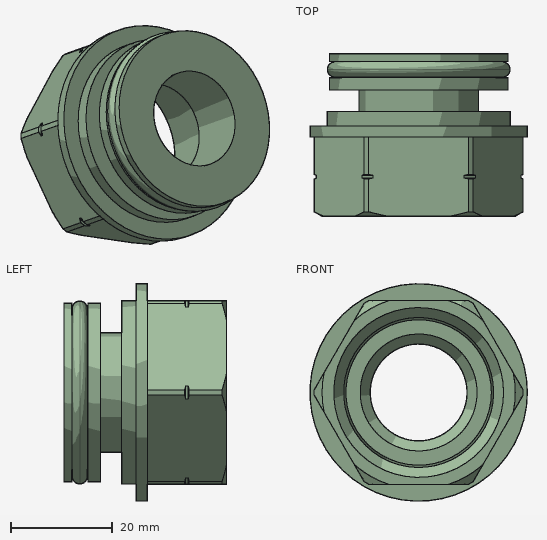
import cadquery as cq
import math


total_length = 32.0
hex_length = 15.6
flange_end = 17.8
collar_end = 20.65
neck_end = 24.8
flange_radius = 21.4
collar_radius = 18.05
neck_radius = 11.8
head_radius = 17.6

hex_sides = 6
hex_across_flats = 36.1
hex_corner_radius = 20.55
hex_face_radius = 19.0
hex_chamfer_angle = 30.0

mark_station = hex_length / 2
mark_floor_radius = 20.15
mark_floor_width = 0.5
mark_mouth_width = 0.9

ring_section_radius = 1.5
ring_outer_radius = 18.0
ring_center_radius = ring_outer_radius - ring_section_radius
ring_groove_width = 3.15
ring_groove_start = 27.3
ring_groove_end = ring_groove_start + ring_groove_width
ring_groove_center = ring_groove_start + ring_groove_width / 2
ring_seat_overlap = 0.2
ring_groove_radius = ring_center_radius - ring_section_radius + ring_seat_overlap

socket_mouth_radius = 16.7
socket_start_radius = 14.75
socket_end_radius = 14.3
socket_depth = 17.0
bore_entry_radius = 11.5
bore_radius = 9.5


def revolve_profile(points):
    """Revolve (radius, station) points about the Y axis."""
    return cq.Workplane("XY").polyline(points).close().revolve(360, (0, 0, 0), (0, 1, 0))


def make_hexagon():
    """Hexagon with turned corners, a chamfered face and a mark groove."""
    corner_diameter = hex_across_flats / math.cos(math.pi / hex_sides)
    prism = cq.Workplane("XZ").polygon(hex_sides, corner_diameter).extrude(-hex_length)

    chamfer_drop = hex_corner_radius - hex_face_radius
    chamfer_length = chamfer_drop * math.tan(math.radians(hex_chamfer_angle))
    envelope = revolve_profile([
        (0, 0),
        (hex_face_radius, 0),
        (hex_corner_radius, chamfer_length),
        (hex_corner_radius, mark_station - mark_mouth_width / 2),
        (mark_floor_radius, mark_station - mark_floor_width / 2),
        (mark_floor_radius, mark_station + mark_floor_width / 2),
        (hex_corner_radius, mark_station + mark_mouth_width / 2),
        (hex_corner_radius, hex_length),
        (0, hex_length),
    ])
    return prism.intersect(envelope)


def make_turned_body():
    """Flange, collar, neck and grooved head behind the hexagon."""
    return revolve_profile([
        (0, hex_length),
        (flange_radius, hex_length),
        (flange_radius, flange_end),
        (collar_radius, flange_end),
        (collar_radius, collar_end),
        (neck_radius, collar_end),
        (neck_radius, neck_end),
        (head_radius, neck_end),
        (head_radius, ring_groove_start),
        (ring_groove_radius, ring_groove_start),
        (ring_groove_radius, ring_groove_end),
        (head_radius, ring_groove_end),
        (head_radius, total_length),
        (0, total_length),
    ])


def make_ring():
    """O-ring seated in the head groove."""
    section = cq.Workplane("XY").moveTo(ring_center_radius, ring_groove_center).circle(ring_section_radius)
    return section.revolve(360, (0, 0, 0), (0, 1, 0))


def make_cavity():
    """Tapered socket with 45 degree entry, then a 45 degree lead into the through bore."""
    mouth_depth = socket_mouth_radius - socket_start_radius
    bore_start = socket_depth + bore_entry_radius - bore_radius
    return revolve_profile([
        (0, 0),
        (socket_mouth_radius, 0),
        (socket_start_radius, mouth_depth),
        (socket_end_radius, socket_depth),
        (bore_entry_radius, socket_depth),
        (bore_radius, bore_start),
        (bore_radius, total_length),
        (0, total_length),
    ])


result = make_hexagon().union(make_turned_body()).union(make_ring()).cut(make_cavity())